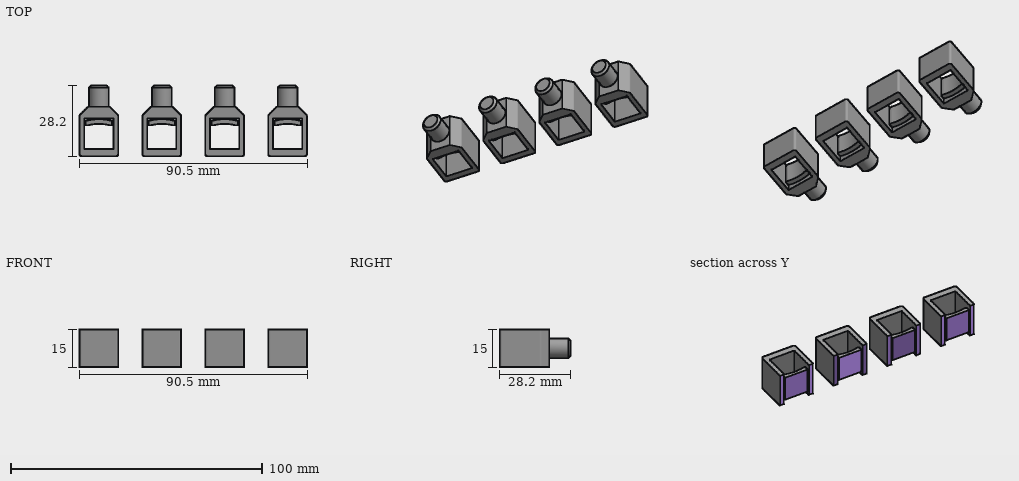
import cadquery as cq

terminal_count = 4
row_length = 90.5

housing_width = 15.5
housing_length = 19.7
housing_height = 15.0
shoulder_chamfer = 3.4
corner_radius = 0.9

side_wall = 2.0
end_wall = 3.0
window_length = 12.0

overall_length = 28.2
stud_diameter = 8.0
stud_chamfer = 1.0

plate_width = 10.5
plate_thickness = 2.0
plate_end_thickness = 1.8
plate_end_flat = 1.1
plate_rise = 0.7
plate_height = 11.2
plate_gap = 0.2

pitch = (row_length - housing_width) / (terminal_count - 1)
window_width = housing_width - 2 * side_wall
window_end = end_wall + window_length
stud_length = overall_length - housing_length


def make_housing(center_x):
    """Block with 45-degree shoulders, a vertical window and a stud along +Y."""
    block = (
        cq.Workplane("XY")
        .box(housing_width, housing_length, housing_height, centered=(True, False, True))
        .edges("|Z and >Y")
        .chamfer(shoulder_chamfer)
    )
    block = block.edges("|Z and (<X or >X)").fillet(corner_radius)

    window = (
        cq.Workplane("XY")
        .box(window_width, window_length, housing_height, centered=(True, False, True))
        .translate((0, end_wall, 0))
    )
    stud = (
        cq.Workplane("XZ", origin=(0, housing_length, 0))
        .circle(stud_diameter / 2)
        .extrude(-stud_length)
        .faces(">Y")
        .chamfer(stud_chamfer)
    )
    return block.cut(window).union(stud).translate((center_x, 0, 0))


def make_plate(center_x):
    """Plate bowed towards the stud, with a flat strip along each end of its hollow side."""
    half_width = plate_width / 2
    outer_crown = window_end - plate_gap
    outer_edge = outer_crown - plate_rise
    inner_crown = outer_crown - plate_thickness
    inner_edge = outer_edge - plate_end_thickness
    inner_half_span = half_width - plate_end_flat
    return (
        cq.Workplane("XY")
        .moveTo(-half_width, outer_edge)
        .threePointArc((0, outer_crown), (half_width, outer_edge))
        .lineTo(half_width, inner_edge)
        .lineTo(inner_half_span, inner_edge)
        .threePointArc((0, inner_crown), (-inner_half_span, inner_edge))
        .lineTo(-half_width, inner_edge)
        .close()
        .extrude(plate_height / 2, both=True)
        .translate((center_x, 0, 0))
    )


first_center = -pitch * (terminal_count - 1) / 2
terminal_centers = [first_center + index * pitch for index in range(terminal_count)]

housings = [make_housing(center_x).val() for center_x in terminal_centers]
plates = [make_plate(center_x).val() for center_x in terminal_centers]

result = cq.Compound.makeCompound([*housings, *plates])